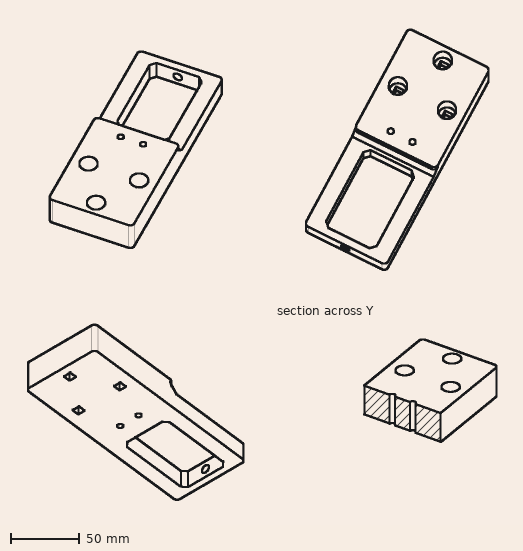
import cadquery as cq

width = 67.4
length = 166.4
height = 25.5
corner_radius = 3.3

frame_height = 15.5
block_length = 86.5
ramp_run = 3.7

window_width = 41.6
window_length = 67.0
window_chamfer = 3.8
end_wall = 6.2

cross_hole_diameter = 6.8
cross_hole_height = frame_height / 2

pin_diameter = 4.5
pin_spacing = 18.0
pin_y = 76.2

bolt_head_diameter = 13.5
bolt_square = 6.3
bolt_floor = 10.1
bolt_spacing = 40.5
bolt_pair_y = 43.0
bolt_single_y = 10.5
bolt_points = [
    (-bolt_spacing / 2, bolt_pair_y),
    (bolt_spacing / 2, bolt_pair_y),
    (0, bolt_single_y),
]


def rounded_plate(plate_length, plate_height):
    """Full-width plate starting at Y = 0 with rounded vertical edges."""
    plate = cq.Workplane("XY").box(width, plate_length, plate_height, centered=(True, False, False))
    return plate.edges("|Z").fillet(corner_radius)


def ramp():
    """45 degree wedge that also fills below the block's rounded corners."""
    toe_y = block_length + ramp_run
    run = ramp_run + corner_radius
    back_y = toe_y - run
    return (
        cq.Workplane("YZ", origin=(-width / 2, 0, 0))
        .moveTo(back_y, frame_height)
        .lineTo(toe_y, frame_height)
        .lineTo(back_y, frame_height + run)
        .close()
        .extrude(width)
    )


def window():
    center_y = length - end_wall - window_length / 2
    opening = cq.Workplane("XY").center(0, center_y).rect(window_width, window_length).extrude(frame_height)
    return opening.edges("|Z").chamfer(window_chamfer)


def cross_hole():
    return (
        cq.Workplane("XZ", origin=(0, length, 0))
        .center(0, cross_hole_height)
        .circle(cross_hole_diameter / 2)
        .extrude(end_wall)
    )


def pin_holes():
    points = [(-pin_spacing / 2, pin_y), (pin_spacing / 2, pin_y)]
    return cq.Workplane("XY").pushPoints(points).circle(pin_diameter / 2).extrude(height)


def bolt_holes():
    squares = cq.Workplane("XY").pushPoints(bolt_points).rect(bolt_square, bolt_square).extrude(height)
    counterbores = (
        cq.Workplane("XY", origin=(0, 0, bolt_floor))
        .pushPoints(bolt_points)
        .circle(bolt_head_diameter / 2)
        .extrude(height - bolt_floor)
    )
    return squares.union(counterbores)


body = rounded_plate(length, frame_height).union(rounded_plate(block_length, height)).union(ramp())
result = body.cut(window()).cut(cross_hole()).cut(pin_holes()).cut(bolt_holes())